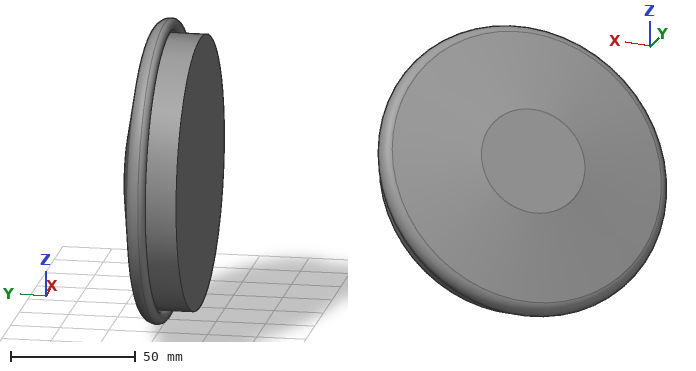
import cadquery as cq
import math


outer_radius = 61.4
total_height = 27.0
plug_radius = 55.6
bead_bottom = 11.9
bead_outer_round = 2.6
bead_inner_round = 2.3
dome_flat_radius = 22.1
rim_round_radius = 5.5
rim_round_height = 5.3

bead_crest_radius = outer_radius - bead_outer_round
bead_inner_radius = bead_crest_radius - bead_inner_round
bead_inner_end = bead_bottom + bead_inner_round
equator = bead_bottom + bead_outer_round

groove_round = bead_inner_radius - plug_radius
groove_bottom = bead_inner_end + groove_round

rim_round_center = outer_radius - rim_round_radius
cone_foot_angle = math.degrees(math.asin(rim_round_height / rim_round_radius))


def arc_point(center_r, center_y, radius, angle):
    """Point on a section arc, at an angle in degrees from the outward radial direction."""
    turn = math.radians(angle)
    return (center_r + radius * math.cos(turn), center_y + radius * math.sin(turn))


groove_middle = arc_point(plug_radius, bead_inner_end, groove_round, 45)
bead_inner_middle = arc_point(bead_crest_radius, bead_inner_end, bead_inner_round, -135)
bead_outer_middle = arc_point(bead_crest_radius, equator, bead_outer_round, -45)
rim_round_middle = arc_point(rim_round_center, equator, rim_round_radius, cone_foot_angle / 2)
cone_foot = arc_point(rim_round_center, equator, rim_round_radius, cone_foot_angle)

section = (
    cq.Workplane("XY")
    .lineTo(plug_radius, 0)
    .lineTo(plug_radius, groove_bottom)
    .threePointArc(groove_middle, (bead_inner_radius, bead_inner_end))
    .threePointArc(bead_inner_middle, (bead_crest_radius, bead_bottom))
    .threePointArc(bead_outer_middle, (outer_radius, equator))
    .threePointArc(rim_round_middle, cone_foot)
    .lineTo(dome_flat_radius, total_height)
    .lineTo(0, total_height)
    .close()
)

result = section.revolve(360, (0, 0), (0, 1))